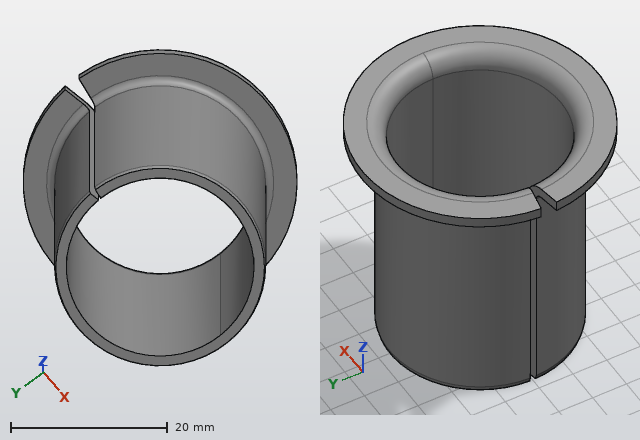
import cadquery as cq
import math

height = 35.0
flange_diameter = 35.0
sleeve_diameter = 27.0
wall = 1.5
inner_bend_radius = 1.0
chamfer_height = 0.7
chamfer_width = 0.18
split_half_angle = 10.0
split_apex_radius = 11.0

flange_radius = flange_diameter / 2
outer_radius = sleeve_diameter / 2
bore_radius = outer_radius - wall
flange_underside = height - wall
outer_bend_radius = inner_bend_radius + wall
bend_center_radius = outer_radius + inner_bend_radius
bend_center_height = flange_underside - inner_bend_radius
diagonal = math.sqrt(0.5)


def bend_midpoint(radius):
    """Middle of a quarter-circle bend between the sleeve and the flange."""
    return (bend_center_radius - radius * diagonal, bend_center_height + radius * diagonal)


def flanged_sleeve():
    """Constant-thickness wall, bent outward into a flange, revolved about Z."""
    profile = (
        cq.Workplane("XZ")
        .moveTo(bore_radius, 0)
        .lineTo(outer_radius - chamfer_width, 0)
        .lineTo(outer_radius, chamfer_height)
        .lineTo(outer_radius, bend_center_height)
        .threePointArc(bend_midpoint(inner_bend_radius), (bend_center_radius, flange_underside))
        .lineTo(flange_radius, flange_underside)
        .lineTo(flange_radius, height)
        .lineTo(bend_center_radius, height)
        .threePointArc(bend_midpoint(outer_bend_radius), (bore_radius, bend_center_height))
        .close()
    )
    return profile.revolve(360, (0, 0, 0), (0, 1, 0))


def split_wedge():
    """Full-height wedge on the -X side that opens outward through wall and flange."""
    reach = flange_diameter
    half_width = (reach - split_apex_radius) * math.tan(math.radians(split_half_angle))
    corners = [(-split_apex_radius, 0), (-reach, half_width), (-reach, -half_width)]
    return cq.Workplane("XY").polyline(corners).close().extrude(height)


result = flanged_sleeve().cut(split_wedge())